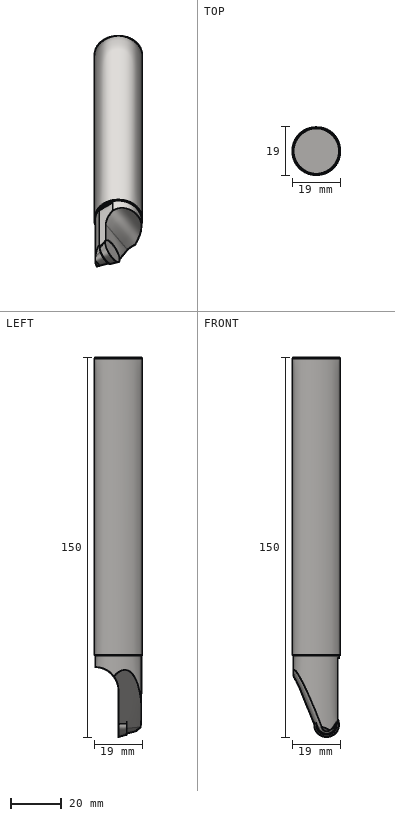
import cadquery as cq
import math

total_length = 150.0
shank_radius = 19.0 / 2
end_chamfer = 0.6
neck_radius = 9.1
neck_length = 32.1
shoulder_chamfer = shank_radius - neck_radius

side_flat_x = 8.5
side_flat_top = 31.2

gullet_radius = 9.1
gullet_top = 27.6

nose_x = 4.0
nose_radius = 4.5
nose_half_angle = math.radians(22)
relief_angle = 15.0
flank_length = 67.5

heel_start_y = -6.9
heel_start_z = 2.2
heel_slope = 0.9

insert_radius = 5.0
insert_thickness = 3.3
insert_z = insert_radius

margin = 15.0


def make_bar():
    """Turned bar: shank with a thinner neck."""
    shank = (
        cq.Workplane("XY").workplane(offset=neck_length)
        .circle(shank_radius).extrude(total_length - neck_length)
        .faces(">Z").chamfer(end_chamfer)
        .faces("<Z").chamfer(shoulder_chamfer)
    )
    neck = cq.Workplane("XY").circle(neck_radius).extrude(neck_length)
    return shank.union(neck)


def make_side_relief():
    """Block that removes the +X side of the neck."""
    return (
        cq.Workplane("XY", origin=(side_flat_x, 0, 0))
        .box(margin, 2 * margin, side_flat_top, centered=(False, True, False))
    )


def make_gullet():
    """Cut down to the rake face at Y = 0, ending in a concave quarter round."""
    arc_center_z = gullet_top - gullet_radius
    arc_offset = gullet_radius * math.sqrt(0.5)
    return (
        cq.Workplane("YZ").workplane(offset=-margin)
        .moveTo(0, -margin)
        .lineTo(0, arc_center_z)
        .threePointArc(
            (gullet_radius - arc_offset, arc_center_z + arc_offset),
            (gullet_radius, gullet_top),
        )
        .lineTo(margin, gullet_top)
        .lineTo(margin, -margin)
        .close()
        .extrude(2 * margin)
    )


def make_nose_envelope():
    """Rounded V that shrinks towards -Y by the relief angle, with nose_radius at Y = 0."""
    front_y = gullet_radius
    front_radius = nose_radius + front_y * math.tan(math.radians(relief_angle))
    tangent_x = front_radius * math.cos(nose_half_angle)
    tangent_z = insert_z - front_radius * math.sin(nose_half_angle)
    flank_x = tangent_x + flank_length * math.sin(nose_half_angle)
    flank_z = tangent_z + flank_length * math.cos(nose_half_angle)
    return (
        cq.Workplane("XZ", origin=(0, front_y, 0))
        .moveTo(nose_x - flank_x, flank_z)
        .lineTo(nose_x - tangent_x, tangent_z)
        .threePointArc((nose_x, insert_z - front_radius), (nose_x + tangent_x, tangent_z))
        .lineTo(nose_x + flank_x, flank_z)
        .close()
        .extrude(front_y + shank_radius, taper=relief_angle)
    )


def make_heel_cut():
    """Wedge below the sloping heel face."""
    return (
        cq.Workplane("YZ").workplane(offset=-margin)
        .moveTo(heel_start_y + margin, heel_start_z - heel_slope * margin)
        .lineTo(heel_start_y - margin, heel_start_z + heel_slope * margin)
        .lineTo(heel_start_y - margin, heel_start_z - heel_slope * margin)
        .close()
        .extrude(2 * margin)
    )


def make_insert():
    """Round button insert with conical relief behind its cutting edge."""
    return (
        cq.Workplane("XZ").center(nose_x, insert_z)
        .circle(insert_radius).extrude(insert_thickness, taper=relief_angle)
    )


def make_holder(insert):
    """Bar with a shaped tip and a pocket matching the insert."""
    bar = make_bar().cut(make_side_relief()).cut(make_gullet())
    tip_zone = cq.Workplane("XY").box(4 * margin, 4 * margin, gullet_top, centered=(True, True, False))
    tip_waste = tip_zone.cut(make_nose_envelope())
    return bar.cut(tip_waste).cut(make_heel_cut()).cut(insert)


cutting_insert = make_insert()
holder = make_holder(cutting_insert)

result = cq.Compound.makeCompound([holder.val(), cutting_insert.val()])